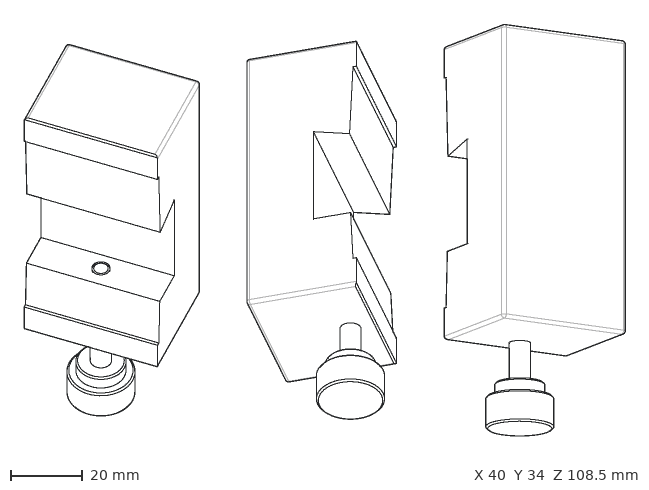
import cadquery as cq
import math

block_width = 40.0
block_depth = 32.0
block_height = 84.0
edge_radius = 1.0
front_chamfer = 0.5

lip_height = 9.1
jaw_root_depth = 31.0
jaw_draft = 2.5
slot_floor_depth = 19.5
upper_jaw_height = 31.9
upper_jaw_undercut = 15.0
lower_jaw_height = 25.0

screw_diameter = 6.0
screw_exposed_length = 11.5
screw_top = lower_jaw_height / 2

grip_diameter = 19.0
grip_height = 9.1
grip_chamfer = 0.5
collar_diameter = 14.0
collar_height = 3.9
collar_chamfer = 0.5
collar_top = -screw_exposed_length
grip_top = collar_top - collar_height
grip_bottom = grip_top - grip_height
screw_bottom = grip_top

pin_diameter = 5.1
pin_chamfer = 0.5

grip_overhang = 2.0
axis_y = -(block_depth + grip_overhang - grip_diameter / 2)


def make_cylinder(diameter, bottom, top):
    """Vertical cylinder on the screw axis."""
    return cq.Workplane("XY", origin=(0, axis_y, bottom)).circle(diameter / 2).extrude(top - bottom)


def make_edged_block():
    """Plain block with its back, top and bottom edges rounded or chamfered."""
    block = cq.Workplane("XY").box(block_width, block_depth, block_height, centered=(True, False, False))
    block = block.translate((0, -block_depth, 0))
    block = block.faces("<Y").edges("|X").chamfer(front_chamfer)
    block = block.edges("|Z and >Y").fillet(edge_radius)
    return block.faces("<Z or >Z").edges("not(<Y)").fillet(edge_radius)


def make_front_cutter():
    """Material removed between the two lips: the tapered jaw faces and the slot between the jaws."""
    taper = math.tan(math.radians(jaw_draft))
    upper_lip_z = block_height - lip_height
    upper_tip_z = block_height - upper_jaw_height
    upper_tip_depth = jaw_root_depth - (upper_lip_z - upper_tip_z) * taper
    lower_tip_depth = jaw_root_depth - (lower_jaw_height - lip_height) * taper
    undercut_rise = (upper_tip_depth - slot_floor_depth) * math.tan(math.radians(upper_jaw_undercut))
    return (
        cq.Workplane("YZ", origin=(-block_width / 2, 0, 0))
        .moveTo(-block_depth, lip_height)
        .lineTo(-jaw_root_depth, lip_height)
        .lineTo(-lower_tip_depth, lower_jaw_height)
        .lineTo(-slot_floor_depth, lower_jaw_height)
        .lineTo(-slot_floor_depth, upper_tip_z + undercut_rise)
        .lineTo(-upper_tip_depth, upper_tip_z)
        .lineTo(-jaw_root_depth, upper_lip_z)
        .lineTo(-block_depth, upper_lip_z)
        .close()
        .extrude(block_width)
    )


def make_housing():
    """C-shaped clamp block with a stepped bore through the lower jaw for the screw and the pin."""
    screw_bore = make_cylinder(screw_diameter, 0, screw_top)
    pin_bore = make_cylinder(pin_diameter, screw_top, lower_jaw_height)
    return make_edged_block().cut(make_front_cutter()).cut(screw_bore).cut(pin_bore)


def make_screw():
    """Plain shank from the knob's socket up to the pin."""
    return make_cylinder(screw_diameter, screw_bottom, screw_top)


def make_knob():
    """Stepped round knob with a socket through its collar for the screw."""
    grip = make_cylinder(grip_diameter, grip_bottom, grip_top).edges("%CIRCLE").chamfer(grip_chamfer)
    collar = make_cylinder(collar_diameter, grip_top, collar_top).faces(">Z").edges().chamfer(collar_chamfer)
    socket = make_cylinder(screw_diameter, screw_bottom, collar_top)
    return grip.union(collar).cut(socket)


def make_pin():
    """Pin on top of the screw, with a chamfered upper end."""
    pin = make_cylinder(pin_diameter, screw_top, lower_jaw_height)
    return pin.faces(">Z").edges().chamfer(pin_chamfer)


housing = make_housing()
screw = make_screw()
knob = make_knob()
pin = make_pin()

result = cq.Compound.makeCompound([housing.val(), screw.val(), knob.val(), pin.val()])